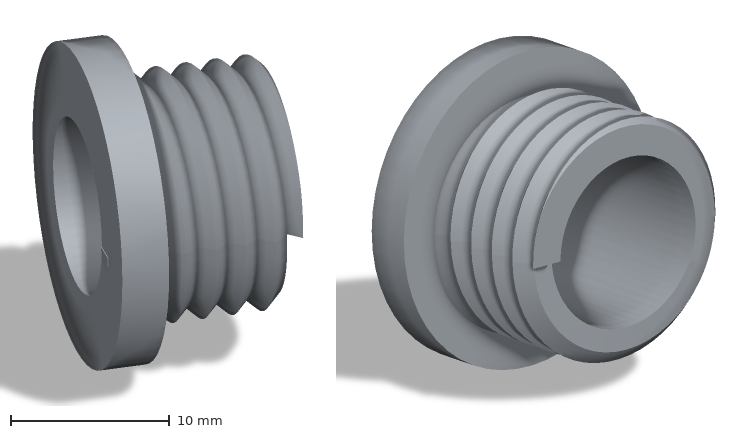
import cadquery as cq

flange_diameter = 20.9
flange_thickness = 3.05
bore_diameter = 11.35
root_diameter = 14.35
crest_diameter = 16.18
overall_length = 12.57
thread_pitch = 1.953
thread_turns = 6
start_projection = 0.055

bore_stock = 1.05

bore_radius = bore_diameter / 2
stock_radius = bore_radius - bore_stock
root_radius = root_diameter / 2
crest_radius = crest_diameter / 2
top = overall_length - start_projection
thread_start = -start_projection
thread_end = thread_start + thread_turns * thread_pitch


def helix(radius, height):
    """One right-handed turn that starts on +X at the given height."""
    return cq.Wire.makeHelix(thread_pitch, thread_pitch, radius, center=cq.Vector(0, 0, height)).Edges()[0]


def helical_strip(radius_a, height_a, radius_b, height_b):
    """One turn of the ruled surface between two helices."""
    return cq.Face.makeRuledSurface(helix(radius_a, height_a), helix(radius_b, height_b))


def end_face(height):
    """Flat end of the coil in the XZ plane; it steps up by one pitch."""
    outline = [
        (stock_radius, height),
        (root_radius, height),
        (crest_radius, height + thread_pitch / 2),
        (root_radius, height + thread_pitch),
        (stock_radius, height + thread_pitch),
    ]
    points = [cq.Vector(radius, 0, z) for radius, z in outline]
    return cq.Face.makeFromWires(cq.Wire.makePolygon(points, close=True))


def threaded_coil():
    """Sleeve and V thread as one coil whose turns meet along the root helix."""
    faces = [end_face(thread_start), end_face(thread_end)]
    for height in (thread_start, thread_end):
        faces.append(helical_strip(stock_radius, height, root_radius, height))
    for turn in range(thread_turns):
        bottom = thread_start + turn * thread_pitch
        crest = bottom + thread_pitch / 2
        upper_root = bottom + thread_pitch
        faces.append(helical_strip(root_radius, bottom, crest_radius, crest))
        faces.append(helical_strip(crest_radius, crest, root_radius, upper_root))
        faces.append(helical_strip(stock_radius, bottom, stock_radius, upper_root))
    return cq.Workplane(obj=cq.Solid.makeSolid(cq.Shell.makeShell(faces)))


def disc(radius, bottom, height):
    return cq.Workplane("XY").workplane(offset=bottom).circle(radius).extrude(height)


coil = threaded_coil().intersect(disc(flange_diameter, thread_start, top - thread_start))

flange = disc(flange_diameter / 2, 0, flange_thickness)
bore = disc(bore_radius, thread_start, overall_length)
body = coil.union(flange).cut(bore)
result = body.rotate((0, 0, 0), (1, 0, 0), -90)